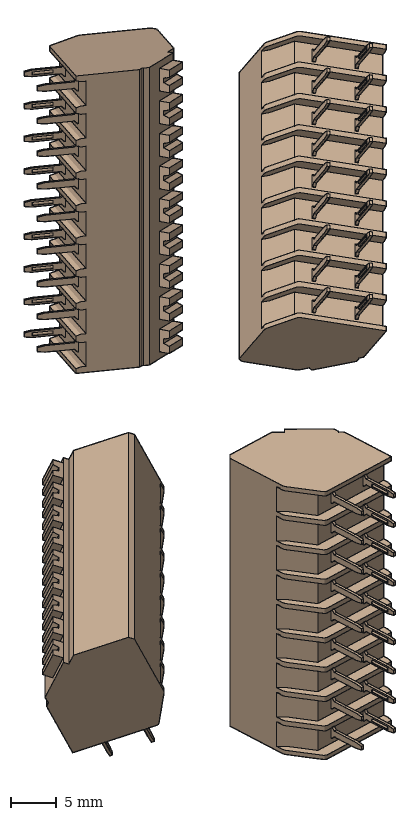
import cadquery as cq
import math

HEIGHT = 34.68
WIDTH = 12.7
DEPTH = 12.9
EDGE_CHAMFER = 0.52
POLES = 9
END_MARGIN = 0.25
PITCH = (HEIGHT - 2 * END_MARGIN) / POLES

SLANT_ANGLE = 30.5
CORE_BASE = 1.18
CORE_SLANT_START = 5.2
RIB_SLANT_START = 4.1
SLANT_SLOPE = math.tan(math.radians(SLANT_ANGLE))

RIB_EDGE_HALF = 0.3
RIB_BEVEL_HEIGHT = 0.17
RIB_BEVEL_DEPTH = (CORE_SLANT_START - RIB_SLANT_START) * math.sin(math.radians(SLANT_ANGLE))
RIB_UPPER_FILLET = 1.05
RIB_LOWER_FILLET = 0.52
RIB_OVERRUN = 1.4

SLOPE_START = 7.07
SLOPE_SUM = SLOPE_START + DEPTH
DECK_RISE = 0.45
DECK_SUM = SLOPE_SUM + 2 * DECK_RISE
DECK_START = 8.05
DECK_RIGHT = 12.35
DECK_END = 12.25

BUTTON_INSET = 0.05
BUTTON_RISE = 0.85
BUTTON_RUN = 2.2
BUTTON_HALF = 1.32
GROOVE_DEPTH = 0.7
GROOVE_TOP_HALF = 0.5
GROOVE_FLOOR_HALF = 0.25

PIN_FIRST_X = 4.6
PIN_SPACING = 5.0
PIN_THICKNESS = 0.35
PIN_HALF = 0.38
PIN_TIP_HALF = 0.25
PIN_TIP_Y = -3.5
PIN_TAPER_Y = -2.67
FLARE_HALF = 0.73
FLARE_END_Y = 0.7
FLARE_START_Y = FLARE_END_Y + FLARE_HALF - PIN_HALF
PIN_EMBED = 0.35
PIN_ROOT_Y = CORE_BASE + PIN_EMBED
RIDGE_START_Y = -0.28
RIDGE_HALF = 0.17
RIDGE_RISE = 0.15


def housing_prism(slant_start, base):
    """Full-height housing with the given lower left slant and underside."""
    points = [
        (0, slant_start),
        (0, DEPTH - EDGE_CHAMFER),
        (EDGE_CHAMFER, DEPTH),
        (SLOPE_START, DEPTH),
        (DECK_START, SLOPE_SUM - DECK_START),
        (DECK_START + DECK_RISE, SLOPE_SUM - DECK_START + DECK_RISE),
        (DECK_RIGHT, DECK_SUM - DECK_RIGHT),
        (DECK_RIGHT, SLOPE_SUM - DECK_END + DECK_RIGHT - DECK_END),
        (DECK_END, SLOPE_SUM - DECK_END),
        (WIDTH, SLOPE_SUM - WIDTH),
        (WIDTH, base),
        ((slant_start - base) * SLANT_SLOPE, base),
    ]
    return cq.Workplane("XY").polyline(points).close().extrude(HEIGHT)


def rib_blank(z):
    """Rib plate centred on height z, bevelled around its outer edge."""
    outline = [
        (0, RIB_SLANT_START),
        (0, DEPTH),
        (WIDTH + RIB_OVERRUN, DEPTH),
        (WIDTH + RIB_OVERRUN, 0),
        (RIB_SLANT_START * SLANT_SLOPE, 0),
    ]
    bevel_angle = math.degrees(math.atan2(RIB_BEVEL_DEPTH, RIB_BEVEL_HEIGHT))
    plate = (
        cq.Workplane("XY", origin=(0, 0, z - RIB_EDGE_HALF - RIB_BEVEL_HEIGHT))
        .polyline(outline).close()
        .extrude(2 * (RIB_EDGE_HALF + RIB_BEVEL_HEIGHT))
    )
    for side in (1, -1):
        bevel_start = z + side * RIB_EDGE_HALF
        slab = (
            cq.Workplane("XY", origin=(0, 0, bevel_start))
            .polyline(outline).close()
            .extrude(side * RIB_BEVEL_HEIGHT)
        )
        tapered = (
            cq.Workplane("XY", origin=(0, 0, bevel_start))
            .polyline(outline).close()
            .extrude(side * RIB_BEVEL_HEIGHT, taper=bevel_angle)
        )
        plate = plate.cut(slab.cut(tapered))
    return plate


def vertical_edge_at(x, y):
    """Selector for the full-height edge standing at x, y."""
    tolerance = 0.005
    return cq.selectors.BoxSelector(
        (x - tolerance, y - tolerance, 0),
        (x + tolerance, y + tolerance, HEIGHT),
    )


def rib_envelope():
    """Outline limit of the ribs, with both slant corners rounded."""
    return (
        housing_prism(RIB_SLANT_START, 0)
        .edges(vertical_edge_at(0, RIB_SLANT_START))
        .fillet(RIB_UPPER_FILLET)
        .edges(vertical_edge_at(RIB_SLANT_START * SLANT_SLOPE, 0))
        .fillet(RIB_LOWER_FILLET)
    )


def button(z):
    """Push button standing square on the deck, with a tapered groove along its top."""
    base_x = DECK_START + DECK_RISE + BUTTON_INSET
    base_y = DECK_SUM - base_x
    diagonal = math.sqrt(2)
    height = BUTTON_RISE * diagonal
    length = BUTTON_RUN * diagonal
    section = [
        (-BUTTON_HALF, -DECK_RISE),
        (-BUTTON_HALF, height),
        (-GROOVE_TOP_HALF, height),
        (-GROOVE_FLOOR_HALF, height - GROOVE_DEPTH),
        (GROOVE_FLOOR_HALF, height - GROOVE_DEPTH),
        (GROOVE_TOP_HALF, height),
        (BUTTON_HALF, height),
        (BUTTON_HALF, -DECK_RISE),
    ]
    plane = cq.Plane(origin=(base_x, base_y, z), xDir=(0, 0, -1), normal=(1, -1, 0))
    return cq.Workplane(plane).polyline(section).close().extrude(length)


def pin(x, z, inward):
    """Flat tapered pin with a rounded ridge on the face that looks inward (+1 or -1 in X)."""
    half_outline = [
        (PIN_ROOT_Y, FLARE_HALF),
        (FLARE_START_Y, FLARE_HALF),
        (FLARE_END_Y, PIN_HALF),
        (PIN_TAPER_Y, PIN_HALF),
        (PIN_TIP_Y, PIN_TIP_HALF),
    ]
    outline = half_outline + [(y, -half) for y, half in reversed(half_outline)]
    blade = (
        cq.Workplane("YZ", origin=(x - PIN_THICKNESS / 2, 0, z))
        .polyline(outline).close()
        .extrude(PIN_THICKNESS)
    )
    face_x = inward * PIN_THICKNESS / 2
    ridge = (
        cq.Workplane(cq.Plane(origin=(x, RIDGE_START_Y, z), xDir=(1, 0, 0), normal=(0, -1, 0)))
        .moveTo(0, -RIDGE_HALF)
        .lineTo(face_x, -RIDGE_HALF)
        .threePointArc((face_x + inward * RIDGE_RISE, 0), (face_x, RIDGE_HALF))
        .lineTo(0, RIDGE_HALF)
        .close()
        .extrude(RIDGE_START_Y - PIN_TAPER_Y)
    )
    return blade.union(ridge)


result = housing_prism(CORE_SLANT_START, CORE_BASE)

envelope = rib_envelope()
for index in range(POLES + 1):
    rib = rib_blank(END_MARGIN + index * PITCH).intersect(envelope)
    result = result.union(rib)

for index in range(POLES):
    pole_z = END_MARGIN + (index + 0.5) * PITCH
    result = result.union(button(pole_z))
    result = result.union(pin(PIN_FIRST_X, pole_z, 1))
    result = result.union(pin(PIN_FIRST_X + PIN_SPACING, pole_z, -1))